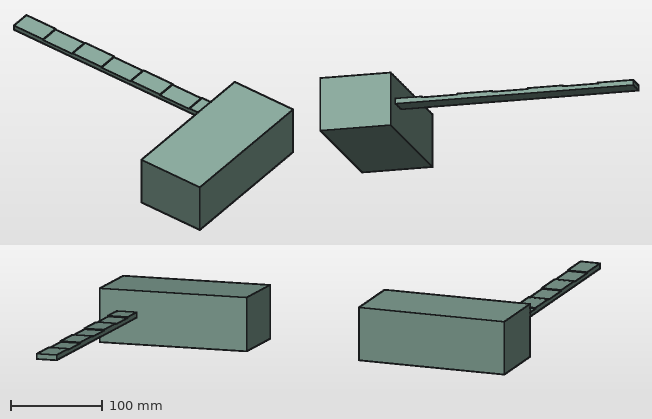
import cadquery as cq

BLOCK_LENGTH = 80.0
BLOCK_WIDTH = 170.0
BLOCK_HEIGHT = 60.0

BAR_LENGTH = 270.0
BAR_WIDTH = 23.0
BAR_EDGE_OFFSET = 20.0
BAR_THICKNESS = 6.0
STEP_LENGTH = 40.0
STEP_DEPTH = 1.0

BAR_CENTER_Y = BLOCK_WIDTH / 2 - BAR_EDGE_OFFSET - BAR_WIDTH / 2


def make_block():
    """Block with its -X face on X = 0, centred on Y and Z."""
    return cq.Workplane("XY").box(
        BLOCK_LENGTH, BLOCK_WIDTH, BLOCK_HEIGHT, centered=(False, True, True)
    )


def make_bar():
    """Bar ending at X = 0, with every second stretch of its top lowered."""
    bar = (
        cq.Workplane("XY")
        .box(BAR_LENGTH, BAR_WIDTH, BAR_THICKNESS, centered=(False, True, False))
        .translate((-BAR_LENGTH, BAR_CENTER_Y, 0))
    )
    recess = cq.Workplane("XY").box(
        STEP_LENGTH, BAR_WIDTH, STEP_DEPTH, centered=(False, True, False)
    )
    stretch_count = int(BAR_LENGTH // STEP_LENGTH)
    for index in range(1, stretch_count, 2):
        recess_start = -BAR_LENGTH + index * STEP_LENGTH
        bar = bar.cut(recess.translate((recess_start, BAR_CENTER_Y, BAR_THICKNESS - STEP_DEPTH)))
    return bar


result = make_block().union(make_bar())